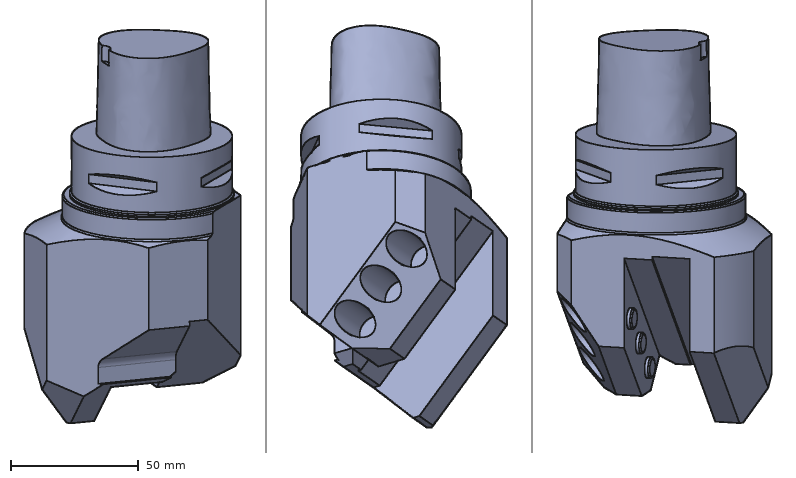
import cadquery as cq
import math


SHANK_LENGTH = 37.6
SHANK_BASE_RADIUS = 22.0
SHANK_TIP_RADIUS = 21.1
SHANK_LOBE = 1.58
SHANK_CURVE_POINTS = 36
KEY_RADIUS = 5.0
KEY_CENTRE_Y = -22.6
KEY_DEPTH = 6.3

COLLAR_RADIUS = 63.0 / 2
COLLAR_BOTTOM = -22.5
NECK_RADIUS = 32.2
NECK_BOTTOM = -23.0
FLANGE_RADIUS = 35.1
FLANGE_CHAMFER = 0.6
FLANGE_TOP = -23.8
FLANGE_BOTTOM = -32.4
CONE_TOP_RADIUS = 35.5
CONE_TOP = -33.1
BODY_RADIUS = 50.0
CONE_BOTTOM = -40.2

GROOVE_Z = -12.0
GROOVE_FLOOR_RADIUS = 27.9
GROOVE_FLOOR_HEIGHT = 3.6
GROOVE_MOUTH_HEIGHT = 7.8
GROOVE_ANGLES = (45, 135, 225, 315)

HALF_WIDTH = 36.0
BACK_Y = 32.1
FRONT_Y = -46.0
BACK_LEFT_CHAMFER = 8.5
BACK_RIGHT_CHAMFER = 22.5
FRONT_RIGHT_CHAMFER = 31.0

BOTTOM_Z = -113.0
APEX_Z = -114.5
RELIEF_APEX_Z = -104.0
GULLET_X = 20.6
GULLET_LEDGE_Z = -92.3
GULLET_RADIUS = 5.3
FRONT_BEVEL_Y = -34.6
BACK_BEVEL_Y = 12.5

SLOT_BACK_Y = 2.1
SLOT_STEP_Y = -9.3
SLOT_FRONT_Y = -24.7
DEEP_SLOT_TOP = -41.4
SHALLOW_SLOT_TOP = -42.8
WEB_BOTTOM = -94.4
WEB_CORNER_WIDTH = 5.4
WEB_CORNER_HEIGHT = 3.8
BACK_LEG_BOTTOM = -102.3

SCREW_COUNT = 3
FIRST_SCREW_X = -28.3
FIRST_SCREW_Z = -68.2
SCREW_STEP = 12.0
SCREW_DIAMETER = 8.5
SCREW_EDGE = 0.6
SCREW_TIP_Y = 0.2
SCREW_HOLE_DIAMETER = 12.5
SCREW_HOLE_FLOOR_Y = 12.5

REACH = 90.4


def prism_along_y(outline, y_start, y_end):
    """XZ outline extruded between two Y positions."""
    return (
        cq.Workplane("XZ", origin=(0, y_end, 0))
        .polyline(outline)
        .close()
        .extrude(y_end - y_start)
    )


def shank_outline(mean_radius):
    """Three-lobed curve with one lobe pointing to +Y."""
    points = []
    for i in range(SHANK_CURVE_POINTS):
        angle = 2 * math.pi * i / SHANK_CURVE_POINTS
        radius = mean_radius - SHANK_LOBE * math.sin(3 * angle)
        points.append((radius * math.cos(angle), radius * math.sin(angle)))
    return points


def make_shank():
    shank = (
        cq.Workplane("XY")
        .spline(shank_outline(SHANK_BASE_RADIUS), periodic=True)
        .close()
        .workplane(offset=SHANK_LENGTH)
        .spline(shank_outline(SHANK_TIP_RADIUS), periodic=True)
        .close()
        .loft(ruled=True)
    )
    keyway = (
        cq.Workplane("XY", origin=(0, KEY_CENTRE_Y, SHANK_LENGTH))
        .circle(KEY_RADIUS)
        .extrude(-KEY_DEPTH)
    )
    return shank.cut(keyway)


def make_round_envelope():
    """Collar, flange, cone and the round limit of the body."""
    return (
        cq.Workplane("XZ")
        .moveTo(0, 0)
        .lineTo(COLLAR_RADIUS, 0)
        .lineTo(COLLAR_RADIUS, COLLAR_BOTTOM)
        .lineTo(NECK_RADIUS, NECK_BOTTOM)
        .lineTo(NECK_RADIUS, FLANGE_TOP)
        .lineTo(FLANGE_RADIUS - FLANGE_CHAMFER, FLANGE_TOP)
        .lineTo(FLANGE_RADIUS, FLANGE_TOP - FLANGE_CHAMFER)
        .lineTo(FLANGE_RADIUS, FLANGE_BOTTOM)
        .lineTo(CONE_TOP_RADIUS, CONE_TOP)
        .lineTo(BODY_RADIUS, CONE_BOTTOM)
        .lineTo(BODY_RADIUS, BOTTOM_Z)
        .lineTo(0, BOTTOM_Z)
        .close()
        .revolve(360, (0, 0, 0), (0, 1, 0))
    )


def make_plan():
    """Flat-sided plan of the flange and body."""
    outline = [
        (-HALF_WIDTH, FRONT_Y),
        (HALF_WIDTH - FRONT_RIGHT_CHAMFER, FRONT_Y),
        (HALF_WIDTH, FRONT_Y + FRONT_RIGHT_CHAMFER),
        (HALF_WIDTH, BACK_Y - BACK_RIGHT_CHAMFER),
        (HALF_WIDTH - BACK_RIGHT_CHAMFER, BACK_Y),
        (-HALF_WIDTH + BACK_LEFT_CHAMFER, BACK_Y),
        (-HALF_WIDTH, BACK_Y - BACK_LEFT_CHAMFER),
    ]
    return cq.Workplane("XY").polyline(outline).close().extrude(BOTTOM_Z)


def make_pointed_profile():
    """XZ outline with the point at the bottom and the gullet on the right flank."""
    tip_half_width = BOTTOM_Z - APEX_Z
    ledge_x = GULLET_LEDGE_Z - APEX_Z
    blend_tangent = GULLET_RADIUS * math.tan(math.pi / 8)
    blend_start_z = RELIEF_APEX_Z + GULLET_X - blend_tangent
    blend_shift = blend_tangent / math.sqrt(2)
    blend_end = (GULLET_X + blend_shift, RELIEF_APEX_Z + GULLET_X + blend_shift)
    arc_middle = (
        GULLET_X + GULLET_RADIUS * (1 - math.cos(math.pi / 8)),
        blend_start_z + GULLET_RADIUS * math.sin(math.pi / 8),
    )
    return (
        cq.Workplane("XZ", origin=(0, BACK_Y, 0))
        .moveTo(-HALF_WIDTH, 0)
        .lineTo(-HALF_WIDTH, APEX_Z + HALF_WIDTH)
        .lineTo(-tip_half_width, BOTTOM_Z)
        .lineTo(tip_half_width, BOTTOM_Z)
        .lineTo(ledge_x, GULLET_LEDGE_Z)
        .lineTo(GULLET_X, GULLET_LEDGE_Z)
        .lineTo(GULLET_X, blend_start_z)
        .threePointArc(arc_middle, blend_end)
        .lineTo(HALF_WIDTH, RELIEF_APEX_Z + HALF_WIDTH)
        .lineTo(HALF_WIDTH, 0)
        .close()
        .extrude(BACK_Y - FRONT_Y)
    )


def flank_bevel(x_side, y_side, bevel_y):
    """45 degree bevel of one flank, starting at bevel_y and growing towards y_side."""
    outward = cq.Vector(x_side, 0, -1)
    along_flank = outward.cross(cq.Vector(0, y_side, 0))
    plane = cq.Plane(origin=(0, bevel_y, APEX_Z), xDir=outward, normal=along_flank)
    return (
        cq.Workplane(plane)
        .polyline([(0, 0), (-REACH, REACH), (REACH, REACH), (REACH, 0)])
        .close()
        .extrude(REACH, both=True)
    )


def slot_cut(top_z, y_start, y_end):
    """Space below a 45 degree slot floor that starts at top_z on the -X side."""
    outline = [
        (-HALF_WIDTH, top_z),
        (-HALF_WIDTH + REACH, top_z - REACH),
        (-HALF_WIDTH, top_z - REACH),
    ]
    return prism_along_y(outline, y_start, y_end)


def web_bottom_cut():
    """Trims the web left between the legs."""
    outline = [
        (SLOT_FRONT_Y, WEB_BOTTOM),
        (SLOT_BACK_Y - WEB_CORNER_WIDTH, WEB_BOTTOM),
        (SLOT_BACK_Y, WEB_BOTTOM + WEB_CORNER_HEIGHT),
        (SLOT_BACK_Y, APEX_Z),
        (SLOT_FRONT_Y, APEX_Z),
    ]
    return cq.Workplane("YZ").polyline(outline).close().extrude(REACH, both=True)


def back_leg_cut():
    """Shortens the back leg: flat underneath, then 45 degrees up to the right."""
    outline = [
        (-REACH, BACK_LEG_BOTTOM),
        (0, BACK_LEG_BOTTOM),
        (REACH, BACK_LEG_BOTTOM + REACH),
        (REACH, APEX_Z),
        (-REACH, APEX_Z),
    ]
    return prism_along_y(outline, SLOT_BACK_Y, BACK_Y)


def gripper_groove(angle):
    half_floor = GROOVE_FLOOR_HEIGHT / 2
    half_mouth = GROOVE_MOUTH_HEIGHT / 2
    outline = [
        (GROOVE_FLOOR_RADIUS, GROOVE_Z - half_floor),
        (COLLAR_RADIUS, GROOVE_Z - half_mouth),
        (COLLAR_RADIUS, GROOVE_Z + half_mouth),
        (GROOVE_FLOOR_RADIUS, GROOVE_Z + half_floor),
    ]
    groove = cq.Workplane("XZ").polyline(outline).close().extrude(COLLAR_RADIUS, both=True)
    return groove.rotate((0, 0, 0), (0, 0, 1), angle)


def cylinder_along_y(x, z, diameter, y_start, y_end):
    return (
        cq.Workplane("XZ", origin=(x, y_end, z))
        .circle(diameter / 2)
        .extrude(y_end - y_start)
    )


def add_clamping_screws(body):
    for i in range(SCREW_COUNT):
        x = FIRST_SCREW_X + i * SCREW_STEP
        z = FIRST_SCREW_Z - i * SCREW_STEP
        hole = cylinder_along_y(x, z, SCREW_HOLE_DIAMETER, SCREW_HOLE_FLOOR_Y, BACK_Y)
        screw = cylinder_along_y(x, z, SCREW_DIAMETER, SCREW_TIP_Y, SCREW_HOLE_FLOOR_Y)
        screw = screw.faces("<Y").chamfer(SCREW_EDGE)
        body = body.cut(hole).union(screw)
    return body


body = make_round_envelope().intersect(make_plan()).intersect(make_pointed_profile())
body = body.cut(flank_bevel(-1, -1, FRONT_BEVEL_Y))
body = body.cut(flank_bevel(1, -1, FRONT_BEVEL_Y))
body = body.cut(flank_bevel(-1, 1, BACK_BEVEL_Y))
body = body.cut(slot_cut(DEEP_SLOT_TOP, SLOT_FRONT_Y, SLOT_STEP_Y))
body = body.cut(slot_cut(SHALLOW_SLOT_TOP, SLOT_STEP_Y, SLOT_BACK_Y))
body = body.cut(web_bottom_cut())
body = body.cut(back_leg_cut())
for groove_angle in GROOVE_ANGLES:
    body = body.cut(gripper_groove(groove_angle))
body = add_clamping_screws(body)

result = body.union(make_shank())